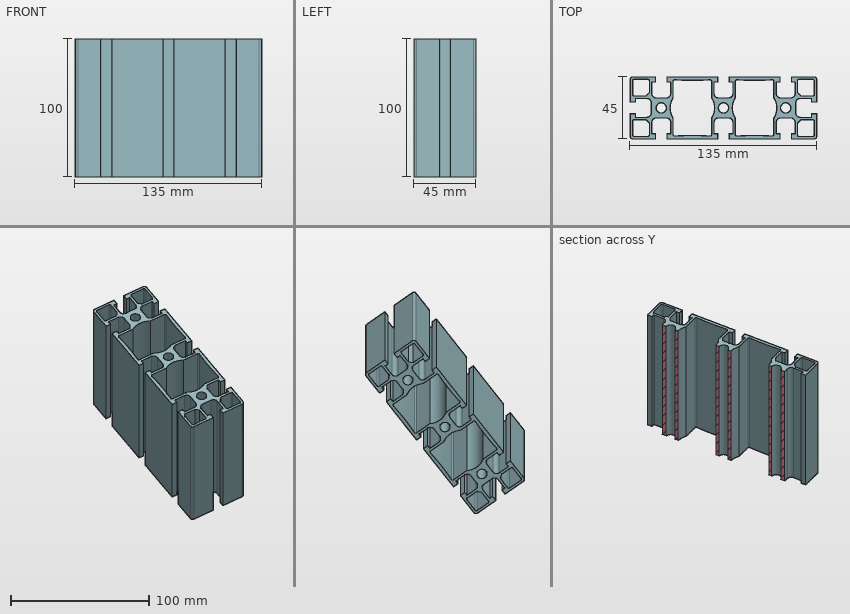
import cadquery as cq

LENGTH_X = 135.0
MODULES = 3
HEIGHT_Z = 100.0
MODULE = LENGTH_X / MODULES
OUTER_RADIUS = 1.9

SLOT_OPENING = 8.2
SLOT_WIDTH = 13.5
LIP_THICKNESS = 3.9
CORE_HALF = 7.3
SLOT_RADIUS = 3.1

BORE_DIAMETER = 7.3

WALL = 1.9
CORNER_CHAMBER_RADIUS = 1.0
CORNER_CHAMBER_CHAMFER = 2.4

CHAMBER_WALL = 2.2
CHAMBER_RADIUS = 1.0
FACE_SAG = 0.5
BULGE_DEPTH = 2.2

HALF_X = LENGTH_X / 2
HALF_Y = MODULE / 2
WEB_OFFSET = SLOT_WIDTH / 2 + WALL

module_centers = [(i - (MODULES - 1) / 2) * MODULE for i in range(MODULES)]
chamber_centers = [(i - (MODULES - 2) / 2) * MODULE for i in range(MODULES - 1)]


def make_slot():
    """T-slot cutter of a module centred on the origin, opening toward +Y."""
    pocket_depth = HALF_Y - LIP_THICKNESS - CORE_HALF
    pocket = (
        cq.Workplane("XY")
        .box(SLOT_WIDTH, pocket_depth, HEIGHT_Z, centered=(True, False, False))
        .edges("|Z and <Y")
        .fillet(SLOT_RADIUS)
    )
    opening = cq.Workplane("XY").box(
        SLOT_OPENING, LIP_THICKNESS, HEIGHT_Z, centered=(True, False, False)
    )
    return pocket.union(opening.translate((0, pocket_depth, 0))).translate((0, CORE_HALF, 0))


def make_corner_chamber():
    """Square chamber of the +X +Y corner, chamfered on the edge nearest the core."""
    size = HALF_Y - WALL - WEB_OFFSET
    chamber = cq.Workplane("XY").box(size, size, HEIGHT_Z, centered=(False, False, False))
    chamber = chamber.edges("|Z and (>X or >Y)").fillet(CORNER_CHAMBER_RADIUS)
    chamber = chamber.edges("|Z and <(1, 1, 0)").chamfer(CORNER_CHAMBER_CHAMFER)
    inner_x = HALF_X - WALL - size
    return chamber.translate((inner_x, WEB_OFFSET, 0))


def make_large_chamber():
    """Chamber between two modules: sides bow outward at the cores, faces bow inward."""
    half_x = MODULE / 2 - WEB_OFFSET
    bulge_x = half_x + BULGE_DEPTH
    half_y = HALF_Y - CHAMBER_WALL
    sag_y = half_y - FACE_SAG
    return (
        cq.Workplane("XY")
        .moveTo(half_x, -half_y)
        .lineTo(half_x, -CORE_HALF)
        .threePointArc((bulge_x, 0), (half_x, CORE_HALF))
        .lineTo(half_x, half_y)
        .threePointArc((0, sag_y), (-half_x, half_y))
        .lineTo(-half_x, CORE_HALF)
        .threePointArc((-bulge_x, 0), (-half_x, -CORE_HALF))
        .lineTo(-half_x, -half_y)
        .threePointArc((0, -sag_y), (half_x, -half_y))
        .close()
        .extrude(HEIGHT_Z)
        .edges("|Z and (>Y or <Y)")
        .fillet(CHAMBER_RADIUS)
    )


result = (
    cq.Workplane("XY")
    .box(LENGTH_X, MODULE, HEIGHT_Z, centered=(True, True, False))
    .edges("|Z")
    .fillet(OUTER_RADIUS)
)

slot = make_slot()
slot_opposite = slot.mirror("XZ")
for x in module_centers:
    result = result.cut(slot.translate((x, 0, 0)))
    result = result.cut(slot_opposite.translate((x, 0, 0)))

for x, turn in ((module_centers[0], 90), (module_centers[-1], -90)):
    end_slot = slot.rotate((0, 0, 0), (0, 0, 1), turn)
    result = result.cut(end_slot.translate((x, 0, 0)))

chamber_back_right = make_corner_chamber()
chamber_back_left = chamber_back_right.mirror("YZ")
for chamber in (chamber_back_right, chamber_back_left):
    result = result.cut(chamber).cut(chamber.mirror("XZ"))

large_chamber = make_large_chamber()
for x in chamber_centers:
    result = result.cut(large_chamber.translate((x, 0, 0)))

bore = cq.Workplane("XY").circle(BORE_DIAMETER / 2).extrude(HEIGHT_Z)
for x in module_centers:
    result = result.cut(bore.translate((x, 0, 0)))